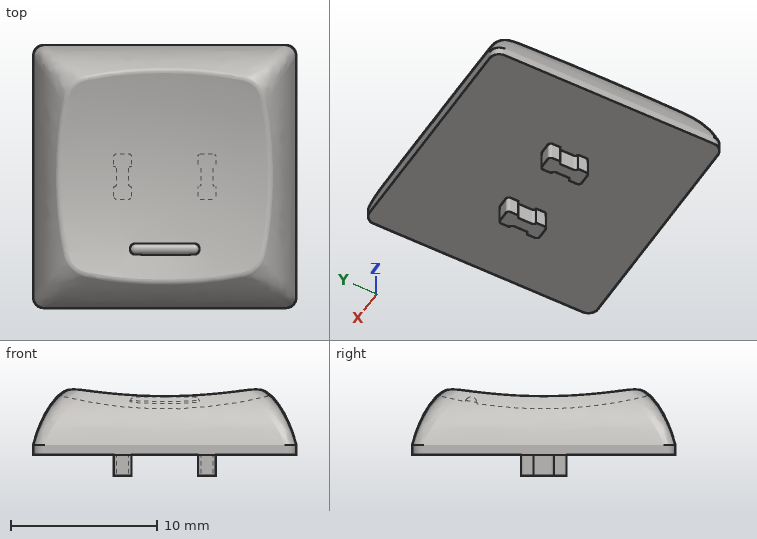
import cadquery as cq
import math

half_width = 9.0
corner_radius = 0.75
skirt_height = 0.67

shoulder_height = 2.52
shoulder_corner_start = 7.2
shoulder_bulge = 0.04
crown_height = 4.86
crown_corner_start = 4.05
crown_bulge = 0.16
corner_fullness = 0.72
wall_slope_in_plan = 0.68

dish_radius = 28.8
dish_floor = 3.13
rim_radius = 0.36

bar_length = 4.79
bar_radius = 0.4
bar_y = -4.97

leg_spacing = 5.76
leg_thickness = 1.25
leg_width = 3.11
leg_length = 1.44
leg_corner_radius = 0.23
notch_width = 1.4
notch_depth = 0.22
leg_overlap = 0.18


def quarter_turned(point, turns):
    """Turn a plan point about the key's axis by whole quarter turns."""
    x, y = point
    for _ in range(turns):
        x, y = -y, x
    return x, y


def wall_section(height, corner_start, bulge):
    """Square outline with bowed sides and full, rounded corners."""
    side_offset = half_width - wall_slope_in_plan * (half_width - corner_radius - corner_start)
    corner_handle = corner_start + corner_fullness * (side_offset - corner_start)
    side_middle = (side_offset + bulge, 0)
    side_end = (side_offset, corner_start)
    corner_curve = [
        side_end,
        (side_offset, corner_handle),
        (corner_handle, side_offset),
        (corner_start, side_offset),
    ]
    outline = cq.Workplane("XY").workplane(offset=height).moveTo(side_offset, -corner_start)
    for turn in range(4):
        outline = outline.threePointArc(quarter_turned(side_middle, turn), quarter_turned(side_end, turn))
        outline = outline.bezier([quarter_turned(point, turn) for point in corner_curve])
    return outline.close()


def make_cap():
    """Skirt and domed walls, hollowed on top by a spherical dish with a rounded rim."""
    base = cq.Workplane("XY").rect(2 * half_width, 2 * half_width)
    skirt = base.extrude(skirt_height).edges("|Z").fillet(corner_radius)
    sections = [
        skirt.faces(">Z").wires(),
        wall_section(shoulder_height, shoulder_corner_start, shoulder_bulge),
        wall_section(crown_height, crown_corner_start, crown_bulge),
    ]
    walls = cq.Workplane(cq.Solid.makeLoft([section.val() for section in sections]))
    dish = cq.Workplane("XY").sphere(dish_radius).rotate((0, 0, 0), (0, 1, 0), -90)
    dish = dish.translate((0, 0, dish_floor + dish_radius))
    dished = walls.cut(dish)
    rounded = dished.faces("%SPHERE").edges().fillet(rim_radius)
    return skirt.union(rounded)


def make_homing_bar():
    """Capsule along X, half sunk into the dish."""
    straight = bar_length - 2 * bar_radius
    bar_z = dish_floor + dish_radius - math.sqrt(dish_radius**2 - bar_y**2)
    bar = cq.Workplane("YZ").circle(bar_radius).extrude(straight / 2, both=True)
    for end in (-1, 1):
        bar = bar.union(cq.Workplane("XY").sphere(bar_radius).translate((end * straight / 2, 0, 0)))
    return bar.translate((0, bar_y, bar_z))


def make_leg():
    """Rounded post, waisted by a notch with rounded inner corners on both broad faces."""
    height = leg_length + leg_overlap
    leg = cq.Workplane("XY").box(leg_thickness, leg_width, height).edges("|Z").fillet(leg_corner_radius)
    cutter_thickness = 4 * notch_depth
    cutter_x = (leg_thickness + cutter_thickness) / 2 - notch_depth
    for side in (-1, 1):
        notch = (
            cq.Workplane("XY")
            .box(cutter_thickness, notch_width, height)
            .edges("|Z")
            .fillet(notch_depth)
            .translate((side * cutter_x, 0, 0))
        )
        leg = leg.cut(notch)
    return leg.translate((0, 0, leg_overlap - height / 2))


result = make_cap().union(make_homing_bar())
for side in (-1, 1):
    result = result.union(make_leg().translate((side * leg_spacing / 2, 0, 0)))